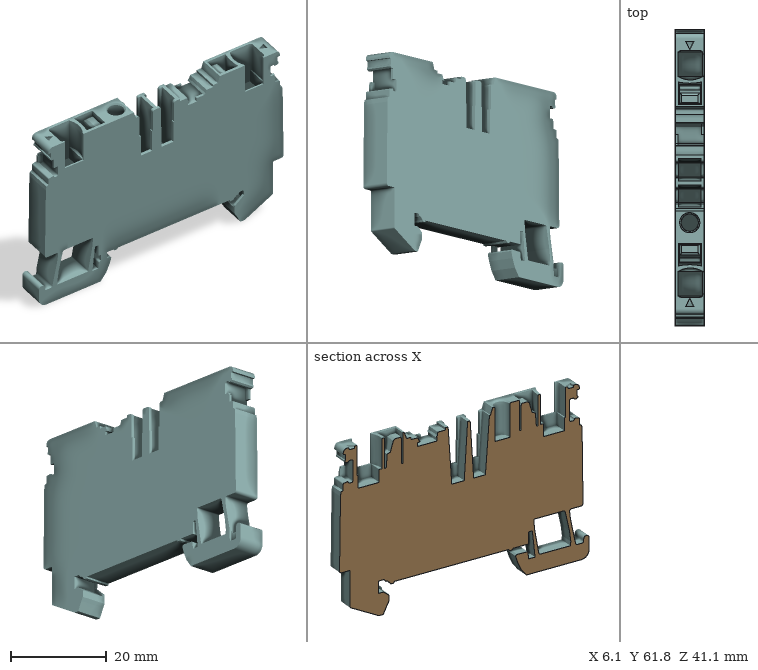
import math

import cadquery as cq

width = 6.1
length = 61.78
height = 41.1

base_z = 7.05
shoulder_z = 12.45
end_y = 1.52
side_lean = 0.009
mirror_y = (end_y + length) / 2

slot_floor_z = 28.9
flare_floor_z = 26.0
slot_step_z = 34.1
rib_top_z = 39.5
marker_z = 37.85
marker_edge_y = 41.7

skin = 0.55
mid_x = width / 2
overcut = 1.0


def rounded_wire(corners, x_plane=0.0):
    """Closed YZ outline; each corner is (y, z) or (y, z, radius)."""
    moves = []
    count = len(corners)
    for i, corner in enumerate(corners):
        y, z = corner[:2]
        radius = corner[2] if len(corner) == 3 else 0.0
        if radius == 0.0:
            moves.append([(y, z)])
            continue
        before = corners[i - 1]
        after = corners[(i + 1) % count]
        to_before = math.atan2(before[1] - z, before[0] - y)
        to_after = math.atan2(after[1] - z, after[0] - y)
        half = abs(math.remainder(to_after - to_before, 2 * math.pi)) / 2
        setback = radius / math.tan(half)
        bisector = to_before + math.remainder(to_after - to_before, 2 * math.pi) / 2
        apex = radius / math.sin(half) - radius
        moves.append([
            (y + setback * math.cos(to_before), z + setback * math.sin(to_before)),
            (y + apex * math.cos(bisector), z + apex * math.sin(bisector)),
            (y + setback * math.cos(to_after), z + setback * math.sin(to_after)),
        ])
    path = cq.Workplane("YZ", origin=(x_plane, 0, 0)).moveTo(*moves[0][-1])
    for move in moves[1:] + moves[:1]:
        path = path.lineTo(*move[0])
        if len(move) == 3:
            path = path.threePointArc(move[1], move[2])
    return path.close()


def prism(corners, x_start, x_end):
    """Solid with a YZ outline between two X positions."""
    return rounded_wire(corners, x_start).extrude(x_end - x_start)


def block(x_range, y_range, z_range):
    """Axis-aligned box from three (low, high) pairs."""
    (x0, x1), (y0, y1), (z0, z1) = x_range, y_range, z_range
    return cq.Workplane("XY").box(x1 - x0, y1 - y0, z1 - z0, centered=False).translate((x0, y0, z0))


def across(points):
    """Outline points mirrored to the other body end, in reversed order."""
    return [(2 * mirror_y - p[0], *p[1:]) for p in reversed(points)]


def mirrored(tool):
    """Tool copied to the other body end."""
    return tool.mirror("XZ", (0, mirror_y, 0))


def turned(tool):
    """Tool turned half a revolution about the vertical axis of the body."""
    return tool.rotate((mid_x, mirror_y, 0), (mid_x, mirror_y, 1), 180)


body_end = [
    (end_y - side_lean, shoulder_z, 0.6),
    (1.75, 30.3),
    (1.88, 31.3),
    (2.42, 31.5),
    (2.42, 33.15, 0.25),
    (3.5, 33.3),
    (3.55, 34.85),
    (3.75, 35.0),
    (3.75, 37.65),
    (3.2, 37.65),
    (2.8, 37.95),
    (2.8, 38.3),
    (3.0, 38.4),
    (3.0, 39.7),
    (2.42, 39.7),
    (2.42, height, 1.05),
]

top_edge = [
    (23.95, height),
    (24.5, rib_top_z),
    (25.37, rib_top_z, 0.4),
    (25.37, slot_step_z),
    (25.75, slot_step_z),
    (25.75, slot_floor_z),
    (28.55, slot_floor_z),
    (28.55, slot_step_z),
    (28.75, slot_step_z),
    (28.75, rib_top_z, 0.4),
    (30.8, rib_top_z, 0.4),
    (30.8, slot_step_z),
    (30.98, slot_step_z),
    (30.98, slot_floor_z),
    (33.95, slot_floor_z),
    (33.95, slot_step_z),
    (34.15, slot_step_z),
    (34.15, rib_top_z, 0.6),
    (35.65, rib_top_z),
    (35.65, 38.95),
    (37.5, 38.95),
    (37.6, 38.2),
    (37.95, marker_z),
    (marker_edge_y, marker_z),
    (42.05, 38.2),
    (42.35, 38.95),
    (44.0, 38.95),
    (44.0, rib_top_z),
    (45.15, rib_top_z),
    (45.7, height),
]

fixed_foot = [
    (59.15, shoulder_z, 0.2),
    (59.15, 3.85, 0.3),
    (52.0, 0.1),
    (50.9, 0.1),
    (49.9, 2.1),
    (49.45, 2.9),
    (49.45, 4.9, 0.4),
    (51.8, 6.8),
    (51.7, 8.15),
    (50.7, 8.15),
    (50.3, 7.6),
    (49.95, 7.6),
]

rail_seat = [
    (49.3, base_z),
    (49.1, 6.7),
    (48.3, 6.7),
    (48.2, base_z),
    (20.0, base_z),
    (19.7, 6.7),
    (19.0, 6.7),
    (18.8, base_z),
    (15.0, base_z),
]

sprung_foot = [
    (15.0, 9.85),
    (14.15, 9.85),
    (13.9, 7.5),
    (13.65, 5.2),
    (13.5, 3.7),
    (14.95, 3.7),
    (15.15, 5.4, 0.3),
    (17.95, 5.5),
    (18.3, 5.15),
    (17.85, 3.7),
    (17.0, 1.8),
    (15.6, 0.0),
    (0.0, 0.0, 2.0),
    (0.0, 5.4, 0.73),
    (1.48, 5.4, 0.73),
    (1.48, 3.9, 0.4),
    (3.3, 3.9, 0.4),
    (3.6, 5.3),
    (4.7, 10.5, 20.0),
    (4.87, shoulder_z, 0.4),
]

spring_window = [
    (13.65, shoulder_z, 0.2),
    (6.1, shoulder_z, 0.4),
    (5.0, 7.6),
    (4.65, 5.0),
    (4.75, 4.05),
    (12.4, 4.05, 0.2),
    (13.55, 10.4, 20.0),
]


def make_body():
    outline = body_end + top_edge + across(body_end) + fixed_foot + rail_seat + sprung_foot
    body = prism(outline, 0, width)
    return body.cut(prism(spring_window, -overcut, width + overcut))


def foot_recesses():
    """Hook relief that leaves a thin web on the +X side, and a shallow recess in the release lever."""
    hook_relief = prism(
        [(52.05, 8.15), (52.05, 5.4), (50.9, 5.4), (49.6, 4.4), (49.0, 4.4), (49.0, 6.0), (50.7, 8.15)],
        -overcut, width - skin,
    )
    lever_relief = prism(
        [(1.5, 4.6), (1.5, 2.05, 0.4), (3.4, 2.05, 0.4), (3.55, 5.0)], -overcut, skin
    )
    return hook_relief.union(lever_relief)


def latch_tie():
    """Thin web on the +X side that joins the latching nose to the rail seat."""
    tie_y = (15.7, 17.2)
    tie_foot_z = 5.0
    return block((width - skin, width), tie_y, (tie_foot_z, base_z + overcut))


def end_marker_pocket():
    """Label pocket in the end notch; a thin side wall stays, swapping sides halfway up."""
    floor_y = 4.85
    mouth_y = 3.75
    split_z = 35.35
    bottom_z = 32.85
    top_z = 38.0
    corner = 0.35
    lower_mouth_y = 3.0
    lower_mouth_z = 33.3
    upper = prism(
        [(mouth_y, split_z), (floor_y, split_z), (floor_y, top_z, corner), (mouth_y, top_z, corner)],
        -overcut, width - skin,
    )
    lower = prism(
        [(mouth_y, split_z), (mouth_y, bottom_z, corner), (floor_y, bottom_z, corner), (floor_y, split_z)],
        skin, width + overcut,
    )
    lower_mouth = block((skin, width + overcut), (lower_mouth_y, mouth_y), (lower_mouth_z, split_z))
    return upper.union(lower).union(lower_mouth)


def top_marker_pocket():
    """Label pocket in the top notch, with the same swapped side walls."""
    floor_z = 36.95
    split_y = 39.85
    low_y = 37.7
    high_y = 42.35
    lip = 0.1
    near = block((-overcut, width - skin), (split_y, high_y), (floor_z, marker_z - lip))
    near_mouth = block((-overcut, width - skin), (split_y, marker_edge_y), (floor_z, marker_z + overcut))
    far = block((skin, width + overcut), (low_y, split_y), (floor_z, marker_z))
    return near.union(near_mouth).union(far)


jumper_flares = [
    ((25.75, 28.55), (24.75, 29.4)),
    ((30.98, 33.95), (30.15, 34.85)),
]


def jumper_flare(bottom_y, top_y):
    """Tapered widening of a jumper slot between its side walls."""
    side_wall = 0.72
    bottom_low, bottom_high = bottom_y
    top_low, top_high = top_y
    taper = [
        (bottom_low, flare_floor_z),
        (bottom_high, flare_floor_z),
        (top_high, rib_top_z),
        (top_high, height),
        (top_low, height),
        (top_low, rib_top_z),
    ]
    return prism(taper, side_wall, width - side_wall)


funnel_low_y = 5.95
funnel_high_y = 11.3
funnel_x = (0.62, 5.75)
funnel_depth = 7.0


def wire_funnel():
    """Square wire entry with a bowed inner wall, open through the +X side, above a smaller well."""
    bow = 0.75
    ledge = 0.3
    well_depth = 3.0
    opening_low_y = 6.6
    outer_corner = 0.6
    floor_z = height - funnel_depth
    x0, x1 = funnel_x
    pocket = (
        cq.Workplane("XY", origin=(0, 0, floor_z))
        .moveTo(x0, funnel_low_y)
        .lineTo(x1, funnel_low_y)
        .lineTo(x1, funnel_high_y)
        .threePointArc(((x0 + x1) / 2, funnel_high_y + bow), (x0, funnel_high_y))
        .close()
        .extrude(funnel_depth + overcut)
        .edges("|Z and <Y")
        .fillet(outer_corner)
    )
    side_opening = block(
        (mid_x, width + overcut), (opening_low_y, funnel_high_y), (floor_z, height + overcut)
    )
    well = block(
        funnel_x, (funnel_low_y + ledge, funnel_high_y), (floor_z - well_depth, floor_z + overcut)
    )
    return pocket.union(side_opening).union(well)


release_y = (12.5, 17.15)
release_x = (0.68, 5.45)
release_floor_z = 34.0


def release_pocket():
    """Screwdriver pocket above the spring clamp; the wall next to the wire entry is bowed."""
    bow = 0.25
    x0, x1 = release_x
    y0, y1 = release_y
    return (
        cq.Workplane("XY", origin=(0, 0, release_floor_z))
        .moveTo(x0, y1)
        .lineTo(x0, y0)
        .threePointArc(((x0 + x1) / 2, y0 + bow), (x1, y0))
        .lineTo(x1, y1)
        .close()
        .extrude(height + overcut - release_floor_z)
    )


def spring_hump():
    """Bent clamp spring inside the pocket: flat crown with bevelled sides and a falling flank."""
    crown_z = 40.2
    bevel_drop = 0.5
    bevel_width = 0.7
    gap = 0.2
    embed = 0.5
    root_z = release_floor_z - embed
    flank = [
        (release_y[1] - gap, root_z),
        (release_y[1] - gap, crown_z - bevel_drop),
        (release_y[1] - 2 * gap, crown_z),
        (15.3, crown_z),
        (14.8, 39.8),
        (14.1, 37.4),
        (13.3, 37.1),
        (13.0, root_z),
    ]
    hump = prism(flank, release_x[0] + gap, release_x[1] - gap)
    return hump.faces(">Z").edges("|Y").chamfer(bevel_drop, bevel_width)


def direction_arrow():
    """Sunken triangle pointing from the block end to the wire entry."""
    sink = 0.5
    half_base = 0.85
    base_y = 4.0
    tip_y = 5.7
    return (
        cq.Workplane("XY", origin=(0, 0, height - sink))
        .polyline([(mid_x - half_base, base_y), (mid_x + half_base, base_y), (mid_x, tip_y)])
        .close()
        .extrude(sink + overcut)
    )


def test_hole():
    """Round test-probe hole with a countersunk rim."""
    radius = 1.8
    rim = 0.3
    depth = 8.0
    hole_y = 21.5
    bore = cq.Workplane("XY", origin=(mid_x, hole_y, height - depth)).circle(radius).extrude(depth)
    rim_base = cq.Vector(mid_x, hole_y, height - rim)
    rim_cone = cq.Solid.makeCone(radius, radius + rim, rim, pnt=rim_base, dir=cq.Vector(0, 0, 1))
    return bore.union(cq.Workplane(obj=rim_cone))


result = make_body().cut(foot_recesses()).union(latch_tie())
result = result.cut(end_marker_pocket()).cut(turned(end_marker_pocket())).cut(top_marker_pocket())
for bottom_range, top_range in jumper_flares:
    result = result.cut(jumper_flare(bottom_range, top_range))

for tool in (wire_funnel(), release_pocket(), direction_arrow()):
    result = result.cut(tool).cut(mirrored(tool))
result = result.union(spring_hump()).union(mirrored(spring_hump()))

result = result.cut(test_hole())